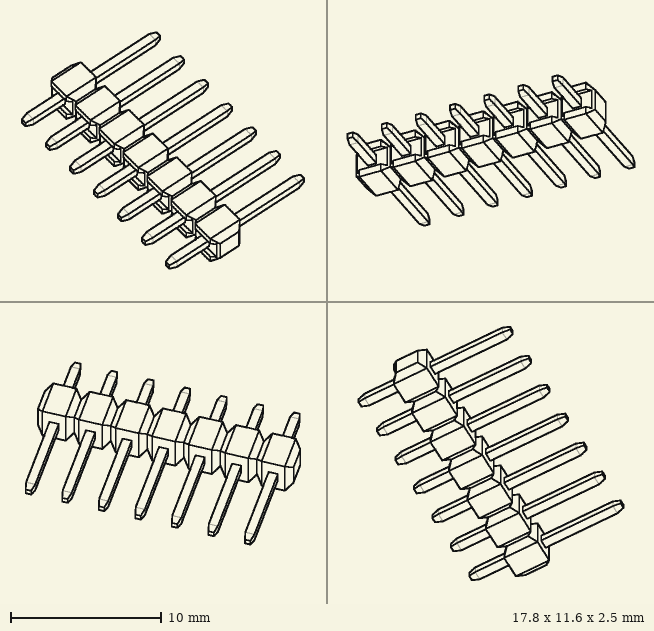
import cadquery as cq

pin_count = 7
row_length = 17.78
pitch = row_length / pin_count

housing_depth = 2.55
housing_height = 2.5
end_chamfer = 0.46

groove_height = 1.42
groove_depth = 0.3

pin_width = 0.64
pin_tip_width = 0.4
pin_taper_length = 0.53
pin_front_length = 3.0
pin_rear_length = 6.0

housing_front = -housing_depth / 2
housing_rear = housing_depth / 2
pin_front = housing_front - pin_front_length
pin_rear = housing_rear + pin_rear_length


def housing_segment():
    """Block with all four edges of both its X end faces chamfered."""
    block = cq.Workplane("XY").box(pitch, housing_depth, housing_height)
    return block.faces("<X or >X").chamfer(end_chamfer)


def front_groove():
    """Bar that cuts the groove along the whole row."""
    bar = cq.Workplane("XY").box(row_length, groove_depth, groove_height)
    return bar.translate((0, housing_front + groove_depth / 2, 0))


def pin_tip(base_y, direction):
    """Tapered pin end that starts at base_y and points along direction (+1 or -1) in Y."""
    base = cq.Plane(origin=(0, base_y, 0), xDir=(1, 0, 0), normal=(0, direction, 0))
    return (
        cq.Workplane(base)
        .rect(pin_width, pin_width)
        .workplane(offset=pin_taper_length)
        .rect(pin_tip_width, pin_tip_width)
        .loft(ruled=True)
    )


def pin():
    """Square pin along Y with a tapered tip at each end."""
    shank_front = pin_front + pin_taper_length
    shank_rear = pin_rear - pin_taper_length
    shank = cq.Workplane("XY").box(pin_width, shank_rear - shank_front, pin_width)
    shank = shank.translate((0, (shank_front + shank_rear) / 2, 0))
    return shank.union(pin_tip(shank_front, -1)).union(pin_tip(shank_rear, 1))


positions = [(i - (pin_count - 1) / 2) * pitch for i in range(pin_count)]

housing = cq.Workplane("XY")
for x in positions:
    housing = housing.union(housing_segment().translate((x, 0, 0)))

result = housing.cut(front_groove())
for x in positions:
    result = result.union(pin().translate((x, 0, 0)))